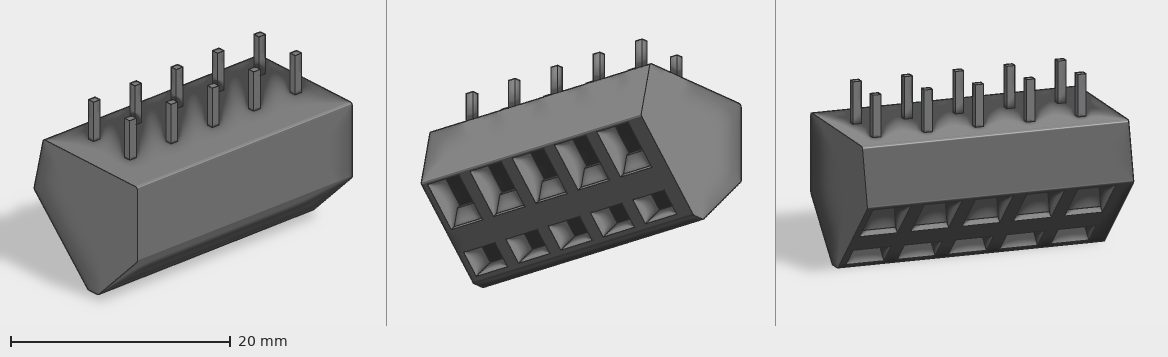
import cadquery as cq
import math


body_height = 13.0
top_width = 13.0
corner_x = -14.3
corner_z = 7.48
right_wall_foot_z = 5.42
edge_radius = 0.3

position_count = 5
pitch = 5.0
end_margin_front = 3.5
end_margin_back = 2.5
contact_shift = 0.04
position_ys = [(i - (position_count - 1) / 2) * pitch for i in range(position_count)]
body_front_y = position_ys[0] - end_margin_front
body_length = end_margin_front + position_ys[-1] - position_ys[0] + end_margin_back

pin_size_x = 0.7
pin_size_y = 0.8
pin_height = 4.0
pin_embed = 1.0
pin_row_inset = 5.0
pin_row_spacing = 5.0
pin_row_xs = [-pin_row_inset - pin_row_spacing, -pin_row_inset]

pocket_width = 3.7
wire_pocket_bottom_z = 3.9
wire_pocket_top_z = 7.28
funnel_start_z = 4.33
funnel_end_z = 6.3
funnel_floor_z = 6.65
funnel_tilt = math.radians(13.0)
release_pocket_bottom_z = 0.39
release_pocket_top_z = 2.19
release_pocket_depth = 2.83
mouth_overshoot = 0.5


def face_x(z):
    """X of the lower -X slope at height z."""
    return corner_x + corner_z - z


def extrude_along_y(points, start_y, length):
    """Prism with an XZ outline, running toward +Y."""
    plane = cq.Workplane("XZ", origin=(0, start_y, 0))
    return plane.polyline(points).close().extrude(-length)


def make_body():
    outline = [
        (-top_width, body_height),
        (0, body_height),
        (0, right_wall_foot_z),
        (-right_wall_foot_z, 0),
        (face_x(0), 0),
        (corner_x, corner_z),
    ]
    return extrude_along_y(outline, body_front_y, body_length).edges("|Y").fillet(edge_radius)


def make_pin(x, y):
    pin = cq.Workplane("XY", origin=(x, y, body_height - pin_embed))
    return pin.rect(pin_size_x, pin_size_y).extrude(pin_height + pin_embed)


def mouth_points(bottom_z, top_z):
    """Outer ends of a pocket cutter, from its top edge to its bottom edge."""
    return [
        (face_x(top_z) - mouth_overshoot, top_z - mouth_overshoot),
        (face_x(bottom_z) - mouth_overshoot, bottom_z - mouth_overshoot),
    ]


def make_wire_pocket(y):
    """Square hole whose lower side opens out as a funnel between two 45 degree steps."""
    funnel_start_x = face_x(wire_pocket_bottom_z) + funnel_start_z - wire_pocket_bottom_z
    funnel_end_x = funnel_start_x + (funnel_end_z - funnel_start_z) * math.tan(funnel_tilt)
    floor_x = funnel_end_x + funnel_floor_z - funnel_end_z
    floor_shift = (floor_x - face_x(funnel_floor_z)) / 2
    outline = mouth_points(wire_pocket_bottom_z, wire_pocket_top_z) + [
        (funnel_start_x, funnel_start_z),
        (funnel_end_x, funnel_end_z),
        (floor_x, funnel_floor_z),
        (face_x(wire_pocket_top_z) + floor_shift, wire_pocket_top_z + floor_shift),
    ]
    return extrude_along_y(outline, y - pocket_width / 2, pocket_width)


def make_release_pocket(y):
    """Plain rectangular pocket below the wire pocket."""
    floor_shift = release_pocket_depth / math.sqrt(2)
    outline = mouth_points(release_pocket_bottom_z, release_pocket_top_z) + [
        (face_x(release_pocket_bottom_z) + floor_shift, release_pocket_bottom_z + floor_shift),
        (face_x(release_pocket_top_z) + floor_shift, release_pocket_top_z + floor_shift),
    ]
    return extrude_along_y(outline, y - pocket_width / 2, pocket_width)


result = make_body()
for position_y in position_ys:
    result = result.cut(make_wire_pocket(position_y + contact_shift))
    result = result.cut(make_release_pocket(position_y))
    for pin_x in pin_row_xs:
        result = result.union(make_pin(pin_x, position_y + contact_shift))